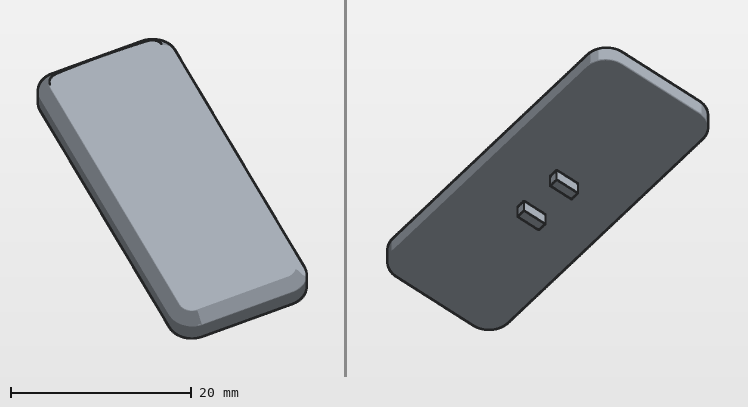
import cadquery as cq

length = 39.49
width = 16.55
height = 3.44
corner_radius = 2.77

bevel = 1.30
edge_fillet = 0.2

dish_half_width = 6.8
dish_depth = 0.8
dish_end_depth = 0.88
dish_straight_length = 22.0
dish_start_x = -dish_straight_length / 2
dish_stop_x = dish_straight_length / 2
dish_open_x = -length / 2

peg_length_x = 1.13
peg_width_y = 3.04
peg_drop = 1.70
peg_spacing = 5.71


def make_body():
    """Rounded rectangular slab with a bevelled top rim and softened edges."""
    body = cq.Workplane("XY").box(length, width, height, centered=(True, True, False))
    body = body.edges("|Z").fillet(corner_radius)
    body = body.faces(">Z").edges().chamfer(bevel)
    wall_top = height - bevel
    rim_zone = cq.selectors.BoxSelector(
        (-length, -width, wall_top - edge_fillet),
        (length, width, wall_top + edge_fillet),
    )
    body = body.edges(rim_zone).fillet(edge_fillet)
    body = body.faces(">Z").edges().fillet(edge_fillet)
    return body.faces("<Z").edges().fillet(edge_fillet)


def dish_section(x, depth):
    """Closed circular segment hanging below the top face in the plane at x."""
    return (
        cq.Workplane("YZ", origin=(x, 0, height))
        .moveTo(-dish_half_width, 0)
        .threePointArc((0, -depth), (dish_half_width, 0))
        .close()
    )


def make_dish():
    """Dish cutter: straight trough, spherical +X end, slightly deepening -X end."""
    trough = dish_section(dish_start_x, dish_depth).extrude(dish_straight_length)

    sphere_radius = (dish_half_width**2 + dish_depth**2) / (2 * dish_depth)
    sphere_center_z = height - dish_depth + sphere_radius
    round_end = (
        cq.Workplane("XY", origin=(dish_stop_x, 0, sphere_center_z))
        .sphere(sphere_radius)
        .intersect(
            cq.Workplane("XY", origin=(dish_stop_x, 0, height - dish_depth))
            .box(dish_half_width, 2 * dish_half_width, dish_depth, centered=(False, True, False))
        )
    )

    start_wire = dish_section(dish_start_x, dish_depth).val()
    open_wire = dish_section(dish_open_x, dish_end_depth).val()
    open_end = cq.Workplane(cq.Solid.makeLoft([start_wire, open_wire], True))

    return trough, round_end, open_end


def make_pegs():
    """Two rectangular pegs side by side along X."""
    return (
        cq.Workplane("XY")
        .pushPoints([(-peg_spacing / 2, 0), (peg_spacing / 2, 0)])
        .rect(peg_length_x, peg_width_y)
        .extrude(-peg_drop)
    )


result = make_body()
for dish_piece in make_dish():
    result = result.cut(dish_piece)
result = result.union(make_pegs())